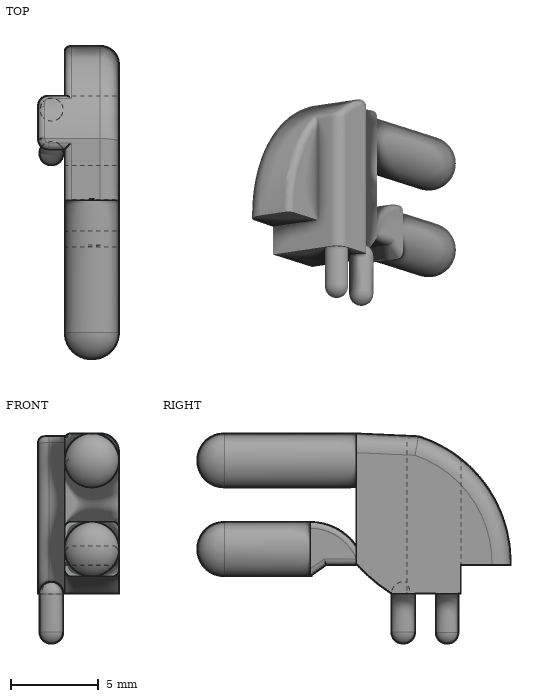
import cadquery as cq
import math

WIDTH = 4.63
LENGTH = 17.89
HEIGHT = 12.0

SLAB_X = 1.52
FRONT_Y = 9.07
BASE_Z = 2.86
TAIL_Z = 4.49
CREST_Y = 12.61
CREST_Z = 11.85
TAIL_ARC_MID = (16.28, 9.3)
CHIN_Y = 11.07
CHIN_Z = 4.56
CHIN_ARC_MID = (10.09, 3.58)
OUTER_FILLET = 1.1
RIM_FILLET = 0.38

BOSS_FRONT_Y = 11.97
BOSS_BACK_Y = 15.05
BOSS_CORNER = 0.6
BOSS_ROOT = 0.72

UPPER_ROD_DIAMETER = 3.1
LOWER_ROD_DIAMETER = 3.11
LOWER_ROD_Z = 5.4
NECK_FRONT_Y = 6.44
NECK_ARC_RADIUS = 3.22
NECK_KNEE_Y = 7.35
NECK_FILLET = 0.35
ROOT_OVERLAP = 0.09

PIN_X = 0.77
FRONT_PIN_Y = 11.75
FRONT_PIN_DIAMETER = 1.38
BACK_PIN_Y = 14.25
BACK_PIN_DIAMETER = 1.3

TOLERANCE = 0.002


def circle_through(a, b, c):
    """Centre and radius of the circle through three points."""
    bx, by = b[0] - a[0], b[1] - a[1]
    cx, cy = c[0] - a[0], c[1] - a[1]
    cross = 2 * (bx * cy - by * cx)
    b_square = bx**2 + by**2
    c_square = cx**2 + cy**2
    dx = (cy * b_square - by * c_square) / cross
    dy = (bx * c_square - cx * b_square) / cross
    return (a[0] + dx, a[1] + dy), math.hypot(dx, dy)


tail_center, tail_radius = circle_through((CREST_Y, CREST_Z), TAIL_ARC_MID, (LENGTH, TAIL_Z))
rod_x = (SLAB_X + WIDTH) / 2


def top_profile():
    """YZ outline of the crest and the tail arc, closed along Z = 0."""
    return (
        cq.Workplane("YZ")
        .moveTo(FRONT_Y, 0)
        .lineTo(FRONT_Y, HEIGHT)
        .lineTo(CREST_Y, CREST_Z)
        .threePointArc(TAIL_ARC_MID, (LENGTH, TAIL_Z))
        .lineTo(LENGTH, 0)
        .close()
    )


def underside_profile():
    """YZ outline of the stepped underside and the chin, closed along the top."""
    return (
        cq.Workplane("YZ")
        .moveTo(FRONT_Y, HEIGHT)
        .lineTo(LENGTH, HEIGHT)
        .lineTo(LENGTH, TAIL_Z)
        .lineTo(BOSS_BACK_Y, TAIL_Z)
        .lineTo(BOSS_BACK_Y, BASE_Z)
        .lineTo(CHIN_Y, BASE_Z)
        .threePointArc(CHIN_ARC_MID, (FRONT_Y, CHIN_Z))
        .close()
    )


def box_between(low, high):
    """Axis-aligned box given by two opposite corners."""
    sizes = [b - a for a, b in zip(low, high)]
    return cq.Workplane("XY").box(*sizes, centered=False).translate(low)


def fillet_rims(body, planes, low, high, radius):
    """Round the edges in the given X planes whose centres lie between two (Y, Z) corners."""
    picked = []
    for edge in body.edges("not |X").vals():
        center = edge.Center()
        in_plane = any(abs(center.x - x) < TOLERANCE for x in planes)
        in_y = low[0] + TOLERANCE < center.y < high[0] - TOLERANCE
        in_z = low[1] + TOLERANCE < center.z < high[1] - TOLERANCE
        if in_plane and in_y and in_z:
            picked.append(edge)
    return body.newObject(picked).fillet(radius)


def make_slab():
    """Slab with a large round on its +X rim and a small one on its -X rim."""
    slab = top_profile().extrude(WIDTH - SLAB_X).translate((SLAB_X, 0, 0))
    for x, radius in ((WIDTH, OUTER_FILLET), (SLAB_X, RIM_FILLET)):
        slab = fillet_rims(slab, (x,), (FRONT_Y, HEIGHT / 2), (LENGTH, HEIGHT), radius)
    return slab.intersect(underside_profile().extrude(WIDTH))


def make_boss():
    """Full-height boss with rounded corners and top rim, rooted in the slab."""
    crest_slope = (HEIGHT - CREST_Z) / (CREST_Y - FRONT_Y)
    crest_cover = (
        cq.Workplane("YZ")
        .moveTo(FRONT_Y, 0)
        .lineTo(FRONT_Y, HEIGHT)
        .lineTo(LENGTH, HEIGHT - crest_slope * (LENGTH - FRONT_Y))
        .lineTo(LENGTH, 0)
        .close()
    )
    tail_cover = cq.Workplane("YZ").center(*tail_center).circle(tail_radius)
    root_x = SLAB_X + BOSS_ROOT
    plan_box = box_between((0, BOSS_FRONT_Y, BASE_Z), (root_x, BOSS_BACK_Y, 2 * HEIGHT))

    layers = []
    for cover in (crest_cover, tail_cover):
        layer = cover.extrude(root_x).intersect(plan_box)
        layer = layer.edges("|Z and <X").fillet(BOSS_CORNER)
        rim = []
        for edge in layer.edges().vals():
            on_top = edge.BoundingBox().zmin > HEIGHT / 2
            if on_top and edge.Center().x < root_x - TOLERANCE:
                rim.append(edge)
        layers.append(layer.newObject(rim).fillet(RIM_FILLET))
    return layers[0].intersect(layers[1])


def make_neck():
    """Arched neck joining the lower rod to the slab, rounded along its long edges."""
    radius = LOWER_ROD_DIAMETER / 2
    bottom_z = LOWER_ROD_Z - radius
    top_z = LOWER_ROD_Z + radius
    back_y = FRONT_Y + ROOT_OVERLAP

    def arch_point(y):
        run = y - NECK_FRONT_Y
        return (y, top_z - NECK_ARC_RADIUS + math.sqrt(NECK_ARC_RADIUS**2 - run**2))

    neck = (
        cq.Workplane("YZ")
        .moveTo(NECK_FRONT_Y, bottom_z)
        .lineTo(NECK_FRONT_Y, top_z)
        .threePointArc(arch_point((NECK_FRONT_Y + back_y) / 2), arch_point(back_y))
        .lineTo(back_y, TAIL_Z)
        .lineTo(NECK_KNEE_Y, TAIL_Z)
        .close()
        .extrude(WIDTH - SLAB_X)
        .translate((SLAB_X, 0, 0))
    )
    for low_z, high_z in ((LOWER_ROD_Z, top_z), (bottom_z, LOWER_ROD_Z)):
        low, high = (NECK_FRONT_Y, low_z), (back_y, high_z)
        neck = fillet_rims(neck, (SLAB_X, WIDTH), low, high, NECK_FILLET)
    return neck


def make_rod(diameter, z, root_y):
    """Rod along Y with a hemispherical tip at Y = 0."""
    radius = diameter / 2
    center = (rod_x, radius, z)
    length = root_y - radius
    shaft = cq.Solid.makeCylinder(radius, length, cq.Vector(*center), cq.Vector(0, 1, 0))
    tip = cq.Workplane("XY").sphere(radius).translate(center)
    return tip.union(cq.Workplane(shaft))


def make_pin(diameter, y):
    """Vertical pin with a domed tip at Z = 0 and a domed top above the base."""
    radius = diameter / 2
    pin = cq.Workplane("XY").circle(radius).extrude(BASE_Z - radius)
    pin = pin.translate((0, 0, radius))
    for dome_z in (radius, BASE_Z):
        pin = pin.union(cq.Workplane("XY").sphere(radius).translate((0, 0, dome_z)))
    return pin.translate((PIN_X, y, 0))


upper_rod_z = HEIGHT - UPPER_ROD_DIAMETER / 2

result = (
    make_slab()
    .union(make_boss())
    .union(make_neck())
    .union(make_rod(UPPER_ROD_DIAMETER, upper_rod_z, FRONT_Y + ROOT_OVERLAP))
    .union(make_rod(LOWER_ROD_DIAMETER, LOWER_ROD_Z, NECK_FRONT_Y + ROOT_OVERLAP))
    .union(make_pin(FRONT_PIN_DIAMETER, FRONT_PIN_Y))
    .union(make_pin(BACK_PIN_DIAMETER, BACK_PIN_Y))
)